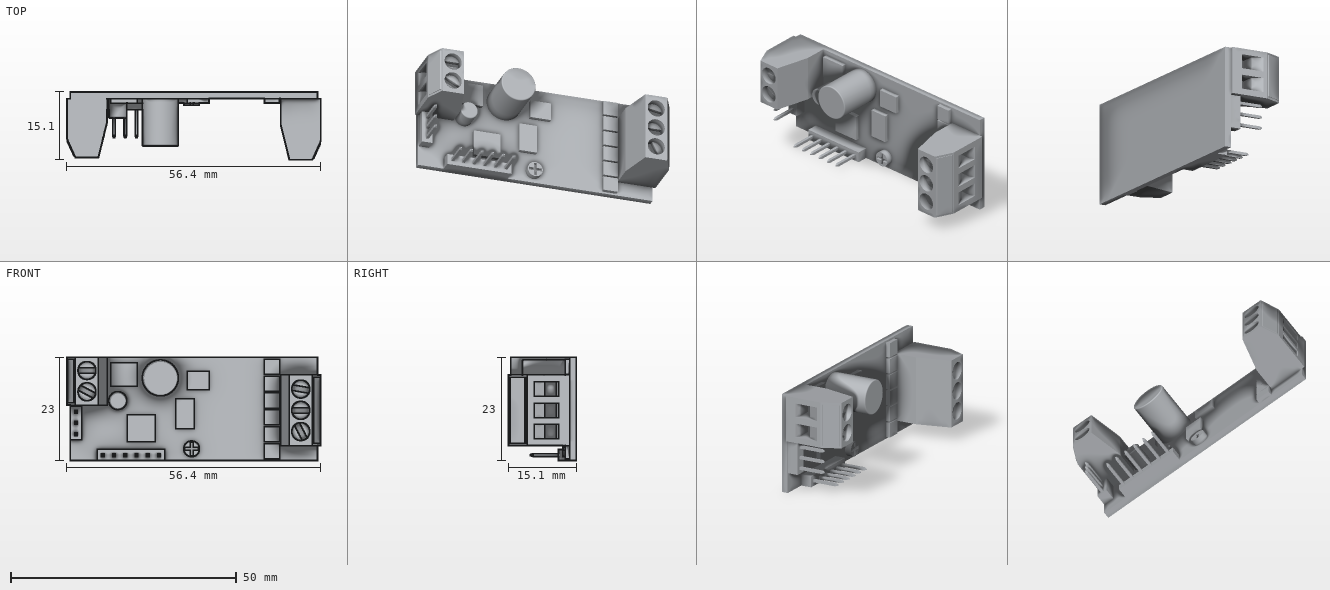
import cadquery as cq
import math

BOARD_LENGTH = 55.0
BOARD_HEIGHT = 23.0
BOARD_THICKNESS = 1.5

TERMINAL_FLAT_WIDTH = 5.1
TERMINAL_INNER_TAPER = 1.95
TERMINAL_OUTER_TAPER = 1.9
TERMINAL_INNER_DROP = 7.9
TERMINAL_OUTER_DROP = 4.2
TERMINAL_WIDTH = TERMINAL_INNER_TAPER + TERMINAL_FLAT_WIDTH + TERMINAL_OUTER_TAPER
TERMINAL_POLE_LENGTH = 5.08
TERMINAL_END_WALLS = 0.47
TERMINAL_OVERHANG = 0.7
POLE_PITCH = 4.72

SCREW_HOLE_DIAMETER = 4.0
SCREW_HEAD_LEVEL = 13.1
SCREW_SLOT_WIDTH = 1.25
SCREW_SLOT_DEPTH = 1.0

WIRE_ENTRY_HEIGHT = 3.2
WIRE_MOUTH_BACK = 3.9
WIRE_PASSAGE_BACK = 4.45
WIRE_PASSAGE_FRONT = 7.0
WIRE_MOUTH_FRONT = 9.4
WIRE_FUNNEL_DEPTH = 1.2
WIRE_PASSAGE_DEPTH = 4.5

LABEL_THICKNESS = 0.15
LABEL_BEVEL = 0.2
LABEL_SIDE_MARGIN = 0.33
LABEL_END_MARGIN = 0.5

HEADER_PITCH = 2.5
HEADER_WIDTH = 2.5
HEADER_HEIGHT = 2.5
HEADER_EDGE_GAP = 0.07
PIN_WIDTH = 0.64
PIN_TIP_WIDTH = 0.25
PIN_TIP_LENGTH = 0.6
PIN_REACH = 8.7

CHIP_THICKNESS = 1.0
CHIPS = [
    (11.95, 19.15, 5.85, 5.15),
    (28.45, 17.8, 4.85, 4.15),
    (25.55, 10.4, 4.1, 6.65),
    (15.85, 7.2, 6.2, 6.0),
]

BLOCK_COUNT = 6
BLOCK_SIZE = 3.35
BLOCK_PITCH = 3.76
BLOCK_ROW_X = 44.85

CAN_EDGE = 0.25
CROSS_SCREW_X = 27.0
CROSS_SCREW_Z = 2.65
CROSS_SCREW_DIAMETER = 3.5
CROSS_SCREW_HEIGHT = 1.5
CROSS_LENGTH = 3.0
CROSS_WIDTH = 0.7
CROSS_DEPTH = 0.8


def raised_box(x, z, length, height, base, rise):
    """Box centred on (x, z) reaching from base to base + rise in front of Y = 0."""
    return cq.Workplane("XY").box(length, rise, height).translate((x, -base - rise / 2, z))


def raised_cylinder(x, z, diameter, base, rise):
    """Cylinder along Y reaching from base to base + rise in front of Y = 0."""
    plane = cq.Workplane("XZ", origin=(x, -base, z))
    return plane.circle(diameter / 2).extrude(rise)


def make_board():
    return raised_box(
        BOARD_LENGTH / 2, BOARD_HEIGHT / 2, BOARD_LENGTH, BOARD_HEIGHT, 0, BOARD_THICKNESS
    )


def extruded_outline(points, z_centre, height):
    outline = cq.Workplane("XY", origin=(0, 0, z_centre - height / 2))
    return outline.polyline(points).close().extrude(height)


def make_label(front, z_centre, height):
    """Plate standing proud of the outer chamfer of a block whose wire side is at X = 0."""
    chamfer_half = math.hypot(TERMINAL_OUTER_TAPER, TERMINAL_OUTER_DROP) / 2
    chamfer_angle = math.degrees(math.atan2(TERMINAL_OUTER_TAPER, TERMINAL_OUTER_DROP))
    base_half = chamfer_half - LABEL_SIDE_MARGIN
    top_half = base_half - LABEL_BEVEL
    outline = [
        (LABEL_THICKNESS, -base_half),
        (0, -base_half),
        (-LABEL_THICKNESS, -top_half),
        (-LABEL_THICKNESS, top_half),
        (0, base_half),
        (LABEL_THICKNESS, base_half),
    ]
    plate = extruded_outline(outline, z_centre, height - 2 * LABEL_END_MARGIN)
    plate = plate.rotate((0, 0, 0), (0, 0, 1), chamfer_angle)
    return plate.translate((TERMINAL_OUTER_TAPER / 2, -front + TERMINAL_OUTER_DROP / 2, 0))


def make_wire_entry(z):
    outline = [
        (0, -WIRE_MOUTH_BACK),
        (WIRE_FUNNEL_DEPTH, -WIRE_PASSAGE_BACK),
        (WIRE_PASSAGE_DEPTH, -WIRE_PASSAGE_BACK),
        (WIRE_PASSAGE_DEPTH, -WIRE_PASSAGE_FRONT),
        (WIRE_FUNNEL_DEPTH, -WIRE_PASSAGE_FRONT),
        (0, -WIRE_MOUTH_FRONT),
    ]
    return extruded_outline(outline, z, WIRE_ENTRY_HEIGHT)


def make_screw_recess(x, z, front, slot_angle):
    """Round recess down to the screw head, plus the driver slot in the head."""
    hole = raised_cylinder(x, z, SCREW_HOLE_DIAMETER, SCREW_HEAD_LEVEL, front - SCREW_HEAD_LEVEL)
    slot_floor = SCREW_HEAD_LEVEL - SCREW_SLOT_DEPTH
    slot = raised_box(x, z, SCREW_HOLE_DIAMETER, SCREW_SLOT_WIDTH, slot_floor, SCREW_SLOT_DEPTH)
    slot = slot.rotate((x, 0, z), (x, 1, z), slot_angle)
    slot_limit = raised_cylinder(x, z, SCREW_HOLE_DIAMETER, slot_floor, SCREW_SLOT_DEPTH)
    return hole.union(slot.intersect(slot_limit))


def make_terminal(front, z_centre, slot_angles):
    """Terminal block with its wire side at X = 0; slot_angles lists the poles from the top."""
    poles = len(slot_angles)
    height = poles * TERMINAL_POLE_LENGTH + TERMINAL_END_WALLS
    flat_end = TERMINAL_OUTER_TAPER + TERMINAL_FLAT_WIDTH
    outline = [
        (0, -BOARD_THICKNESS),
        (0, -front + TERMINAL_OUTER_DROP),
        (TERMINAL_OUTER_TAPER, -front),
        (flat_end, -front),
        (TERMINAL_WIDTH, -front + TERMINAL_INNER_DROP),
        (TERMINAL_WIDTH, -BOARD_THICKNESS),
    ]
    block = extruded_outline(outline, z_centre, height)
    block = block.union(make_label(front, z_centre, height))

    screw_x = TERMINAL_OUTER_TAPER + TERMINAL_FLAT_WIDTH / 2
    top_pole_z = z_centre + (poles - 1) * POLE_PITCH / 2
    for index, slot_angle in enumerate(slot_angles):
        pole_z = top_pole_z - index * POLE_PITCH
        block = block.cut(make_wire_entry(pole_z))
        block = block.cut(make_screw_recess(screw_x, pole_z, front, slot_angle))
    return block


def make_two_pole_terminal():
    front = 14.6
    height = 2 * TERMINAL_POLE_LENGTH + TERMINAL_END_WALLS
    block = make_terminal(front, BOARD_HEIGHT - height / 2, [0, 28])
    return block.translate((-TERMINAL_OVERHANG, 0, 0))


def make_three_pole_terminal():
    front = 15.1
    z_centre = 11.2
    block = make_terminal(front, z_centre, [-10, 0, -63])
    return block.mirror("YZ").translate((BOARD_LENGTH + TERMINAL_OVERHANG, 0, 0))


def make_pin(x, z):
    """Square pin with a tapered tip."""
    shank_end = BOARD_THICKNESS + PIN_REACH - PIN_TIP_LENGTH
    shank = raised_box(x, z, PIN_WIDTH, PIN_WIDTH, BOARD_THICKNESS, shank_end - BOARD_THICKNESS)
    tip = (
        cq.Workplane("XZ", origin=(x, -shank_end, z))
        .rect(PIN_WIDTH, PIN_WIDTH)
        .workplane(offset=PIN_TIP_LENGTH)
        .rect(PIN_TIP_WIDTH, PIN_TIP_WIDTH)
        .loft()
    )
    return shank.union(tip)


def make_header(x, z, columns, rows):
    """Header strip centred on (x, z) with a grid of pins."""
    length = (columns - 1) * HEADER_PITCH + HEADER_WIDTH
    height = (rows - 1) * HEADER_PITCH + HEADER_WIDTH
    header = raised_box(x, z, length, height, BOARD_THICKNESS, HEADER_HEIGHT)
    for column in range(columns):
        for row in range(rows):
            pin_x = x + (column - (columns - 1) / 2) * HEADER_PITCH
            pin_z = z + (row - (rows - 1) / 2) * HEADER_PITCH
            header = header.union(make_pin(pin_x, pin_z))
    return header


def make_can(x, z, diameter, rise):
    """Capacitor can with a rounded top edge."""
    can = raised_cylinder(x, z, diameter, BOARD_THICKNESS, rise)
    return can.faces("<Y").edges().fillet(CAN_EDGE)


def make_cross_screw():
    top = BOARD_THICKNESS + CROSS_SCREW_HEIGHT
    place = (CROSS_SCREW_X, CROSS_SCREW_Z)
    head = raised_cylinder(*place, CROSS_SCREW_DIAMETER, BOARD_THICKNESS, CROSS_SCREW_HEIGHT)
    for length, height in ((CROSS_LENGTH, CROSS_WIDTH), (CROSS_WIDTH, CROSS_LENGTH)):
        head = head.cut(raised_box(*place, length, height, top - CROSS_DEPTH, CROSS_DEPTH))
    return head


def make_chips():
    return [
        raised_box(x, z, length, height, BOARD_THICKNESS, CHIP_THICKNESS)
        for x, z, length, height in CHIPS
    ]


def make_block_row():
    blocks = []
    for index in range(BLOCK_COUNT):
        z = BOARD_HEIGHT / 2 + (index - (BLOCK_COUNT - 1) / 2) * BLOCK_PITCH
        block = raised_box(BLOCK_ROW_X, z, BLOCK_SIZE, BLOCK_SIZE, BOARD_THICKNESS, CHIP_THICKNESS)
        blocks.append(block)
    return blocks


components = [
    make_two_pole_terminal(),
    make_three_pole_terminal(),
    make_header(x=HEADER_WIDTH / 2 + HEADER_EDGE_GAP, z=8.4, columns=1, rows=3),
    make_header(x=13.5, z=HEADER_WIDTH / 2, columns=6, rows=1),
    make_can(x=20.05, z=18.4, diameter=8.0, rise=10.5),
    make_can(x=10.6, z=13.35, diameter=4.0, rise=4.3),
    make_cross_screw(),
]
components += make_chips()
components += make_block_row()

result = make_board()
for component in components:
    result = result.union(component)